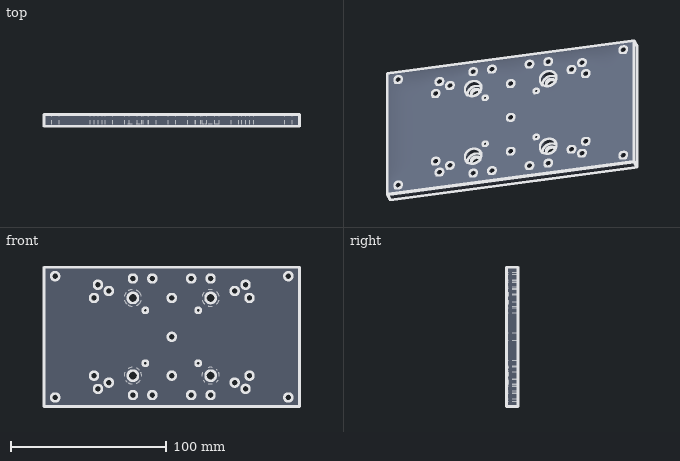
import cadquery as cq

length = 165.0
thickness = 8.0
height = 90.0
edge_chamfer = 0.5

small_diameter = 3.3
standard_diameter = 5.0
large_diameter = 6.5

counterbore_diameter = 11.0
counterbore_depth = 6.5

row_pitch = 12.5
inner_row_z = 2 * row_pitch
outer_row_z = 3 * row_pitch
corner_hole = (75.0, 39.0)
pair_outer_hole = (47.5, 33.5)
pair_inner_hole = (40.5, 29.5)
small_hole_offset = 17.0

standard_quadrant_holes = [
    corner_hole,
    pair_outer_hole,
    pair_inner_hole,
    (row_pitch, outer_row_z),
    (2 * row_pitch, outer_row_z),
    (4 * row_pitch, inner_row_z),
]
centre_line_holes = [(0, -inner_row_z), (0, 0), (0, inner_row_z)]


def mirrored(x, z):
    """Return a place together with its mirror images in the other quadrants."""
    return [(side * x, level * z) for side in (-1, 1) for level in (-1, 1)]


def bores(places, diameter, depth):
    """Return cylinders along Y that reach a given depth in from the +Y face."""
    return (
        cq.Workplane("XZ", origin=(0, thickness / 2, 0))
        .pushPoints(places)
        .circle(diameter / 2)
        .extrude(depth)
    )


standard_places = list(centre_line_holes)
for place in standard_quadrant_holes:
    standard_places += mirrored(*place)
large_places = mirrored(2 * row_pitch, inner_row_z)
small_places = mirrored(small_hole_offset, small_hole_offset)

plate = cq.Workplane("XY").box(length, thickness, height).edges().chamfer(edge_chamfer)

result = (
    plate
    .cut(bores(standard_places, standard_diameter, thickness))
    .cut(bores(small_places, small_diameter, thickness))
    .cut(bores(large_places, large_diameter, thickness))
    .cut(bores(large_places, counterbore_diameter, counterbore_depth))
)